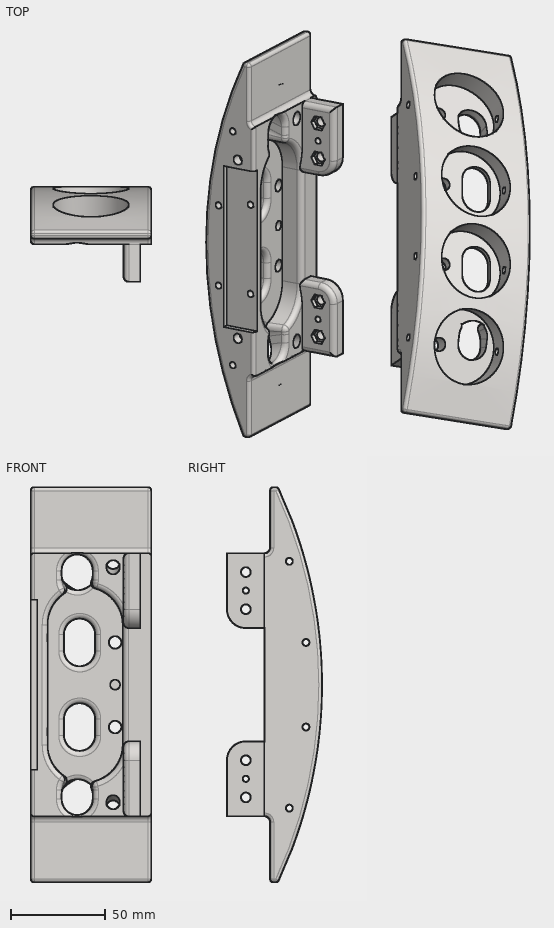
import cadquery as cq
import math

WIDTH = 64.0
LENGTH = 210.0
DEPTH = 30.7
TIP_BACK = 7.1
PAD_HALF = 70.0
WING_STEP = 3.0
EDGE_ROUND = 1.9

SIDE_X = WIDTH / 2
END_Z = LENGTH / 2
SAGITTA = DEPTH - TIP_BACK
BACK_RADIUS = (END_Z ** 2 + SAGITTA ** 2) / (2 * SAGITTA)
BACK_CENTER_Y = DEPTH - BACK_RADIUS

POCKET_X = -3.2
POCKET_RADIUS = 20.0
POCKET_END_Z = 32.0
POCKET_DEPTH = 12.0
SLOT_RADIUS = 8.2
INNER_SLOT_X = -6.0
INNER_SLOT_STRAIGHT = 8.8
OUTER_SLOT_X = -7.4
OUTER_SLOT_Z = 57.3
OUTER_SLOT_STRAIGHT = 4.5
FRONT_CUT_DEPTH = 21.0
RIM_ROUND = 3.0

BORE_DIAMETER = 40.3
BORE_DEPTH = 12.4
INNER_Z = 22.5
OUTER_TILT = 16.1

INNER_HOLE_X = 12.8
INNER_HOLE_DIAMETER = 6.5
OUTER_HOLE_X = 11.8
OUTER_HOLE_Z = 62.4
OUTER_HOLE_DIAMETER = 7.1
CENTER_HOLE_DIAMETER = 5.2
CENTER_HOLE_DEPTH = 6.3

RECESS_HALF = 45.2
RECESS_BACK_Y = 19.0
RECESS_DEPTH = 3.4
RECESS_HOLE_DIAMETER = 3.5
RECESS_HOLE_YZ = (4.2, 25.0)
SIDE_HOLE_DIAMETER = 5.2
SIDE_HOLE_YZ = (10.0, 50.0)
BLIND_DEPTH = 6.3
PIN_DIAMETER = 3.5
INNER_PIN_YZ = (22.0, 22.5)
OUTER_PIN_YZ = (13.2, 65.5)

LUG_X = 17.2
LUG_THICKNESS = 9.0
LUG_REACH = 20.0
LUG_LENGTH = 40.0
LUG_CORNER = 10.0
LUG_ROUND = 3.0
LUG_HOLE_Y = -9.9
LUG_HOLE_PITCH = 9.9
SCREW_DIAMETER = 5.0
DOWEL_DIAMETER = 3.2
NUT_CORNERS = 8.5
NUT_DEPTH = 3.2

TOLERANCE = 0.02


def front_plane(z=0.0, tilt=0.0, y=0.0):
    """Plane through (0, y, z) facing out of the front, leaned back by tilt; local x, y follow X, Z."""
    angle = math.radians(tilt)
    outward = (0, -math.cos(angle), -math.sin(angle))
    return cq.Workplane(cq.Plane(origin=(0, y, z), xDir=(1, 0, 0), normal=outward))


def side_plane(x):
    """Plane facing +X at the given x; its local x, y follow Y, Z."""
    return cq.Workplane(cq.Plane(origin=(x, 0, 0), xDir=(0, 1, 0), normal=(1, 0, 0)))


def both_ends(shape):
    """The shape together with its mirror image about z = 0."""
    return shape.union(shape.mirror("XY"))


def slot(plane, x, straight, radius, depth):
    """Round-ended cutter, long in Z, reaching the same depth to both sides of the plane."""
    return plane.center(x, 0).slot2D(straight + 2 * radius, 2 * radius, 90).extrude(depth, both=True)


def hole(plane, x, diameter, depth):
    """Round cutter going from the plane into the body."""
    return plane.center(x, 0).circle(diameter / 2).extrude(-depth)


def cross_holes(yz, diameter, depth):
    """Mirrored pair of round cutters going in from the -X side."""
    return both_ends(side_plane(-SIDE_X).center(*yz).circle(diameter / 2).extrude(depth))


def make_block():
    return (
        side_plane(-SIDE_X)
        .moveTo(0, -END_Z)
        .lineTo(TIP_BACK, -END_Z)
        .threePointArc((DEPTH, 0), (TIP_BACK, END_Z))
        .lineTo(0, END_Z)
        .close()
        .extrude(WIDTH)
    )


def spans_y(edge, low, high):
    """True if the edge reaches exactly from low to high along Y."""
    box = edge.BoundingBox()
    return abs(box.ymin - low) < TOLERANCE and abs(box.ymax - high) < TOLERANCE


def is_rim(edge):
    """True for the pocket and slot edges that get rounded."""
    middle = edge.positionAt(0.5)
    if spans_y(edge, 0, 0):
        return abs(middle.x) < SIDE_X - TOLERANCE and abs(middle.z) < END_Z - TOLERANCE
    if spans_y(edge, POCKET_DEPTH, POCKET_DEPTH):
        from_center = math.hypot(middle.x - POCKET_X, max(abs(middle.z) - POCKET_END_Z, 0))
        return from_center < POCKET_RADIUS - TOLERANCE
    return spans_y(edge, 0, POCKET_DEPTH) and edge.geomType() == "BSPLINE"


def cut_pocket_and_slots(body):
    pocket = slot(front_plane(), POCKET_X, 2 * POCKET_END_Z, POCKET_RADIUS, POCKET_DEPTH)
    inner = slot(front_plane(INNER_Z), INNER_SLOT_X, INNER_SLOT_STRAIGHT, SLOT_RADIUS, FRONT_CUT_DEPTH)
    outer_plane = front_plane(OUTER_SLOT_Z, OUTER_TILT)
    outer = slot(outer_plane, OUTER_SLOT_X, OUTER_SLOT_STRAIGHT, SLOT_RADIUS, FRONT_CUT_DEPTH)
    body = body.cut(pocket).cut(both_ends(outer)).cut(both_ends(inner))
    rims = [edge for edge in body.edges().vals() if is_rim(edge)]
    return body.newObject(rims).fillet(RIM_ROUND)


def cut_wings(body):
    """Set the wings back from the pad, with a concave round at the step."""
    wing = (
        side_plane(-SIDE_X)
        .moveTo(0, PAD_HALF)
        .radiusArc((WING_STEP, PAD_HALF + WING_STEP), -WING_STEP)
        .lineTo(WING_STEP, END_Z)
        .lineTo(0, END_Z)
        .close()
        .extrude(WIDTH)
    )
    return body.cut(both_ends(wing))


def round_outside(body):
    """Round both tips and the side outlines, leaving the pad's +X edge sharp."""
    for tip in ("<Z", ">Z"):
        body = body.faces(tip).edges("|X").fillet(EDGE_ROUND)
    body = body.faces("<X").edges().fillet(EDGE_ROUND)
    right_edges = [edge for edge in body.faces(">X").edges().vals() if not spans_y(edge, 0, 0)]
    return body.newObject(right_edges).fillet(EDGE_ROUND)


def cut_bores(body):
    inner_back_y = BACK_CENTER_Y + math.sqrt(BACK_RADIUS ** 2 - INNER_Z ** 2)
    inner_floor = front_plane(INNER_Z, y=inner_back_y - BORE_DEPTH)
    inner = hole(inner_floor, 0, BORE_DIAMETER, DEPTH)
    outer_floor = front_plane(tilt=OUTER_TILT, y=BACK_CENTER_Y).workplane(offset=BORE_DEPTH - BACK_RADIUS)
    outer = hole(outer_floor, 0, BORE_DIAMETER, DEPTH)
    return body.cut(both_ends(inner)).cut(both_ends(outer))


def cut_front_holes(body):
    inner = hole(front_plane(INNER_Z), INNER_HOLE_X, INNER_HOLE_DIAMETER, FRONT_CUT_DEPTH)
    outer_plane = front_plane(OUTER_HOLE_Z, OUTER_TILT).center(OUTER_HOLE_X, 0)
    outer = outer_plane.circle(OUTER_HOLE_DIAMETER / 2).extrude(FRONT_CUT_DEPTH, both=True)
    center = hole(front_plane(), INNER_HOLE_X, CENTER_HOLE_DIAMETER, POCKET_DEPTH + CENTER_HOLE_DEPTH)
    return body.cut(both_ends(inner)).cut(both_ends(outer)).cut(center)


def cut_side(body):
    recess = (
        cq.Workplane("XY")
        .box(RECESS_DEPTH, RECESS_BACK_Y, 2 * RECESS_HALF, centered=(False, False, True))
        .translate((-SIDE_X, 0, 0))
    )
    recess_holes = cross_holes(RECESS_HOLE_YZ, RECESS_HOLE_DIAMETER, RECESS_DEPTH + BLIND_DEPTH)
    side_holes = cross_holes(SIDE_HOLE_YZ, SIDE_HOLE_DIAMETER, BLIND_DEPTH)
    body = body.cut(recess).cut(recess_holes).cut(side_holes)
    for pin in (INNER_PIN_YZ, OUTER_PIN_YZ):
        body = body.cut(cross_holes(pin, PIN_DIAMETER, WIDTH))
    return body


def make_lug():
    """Upper lug, sunk into the pad so that its root fills the rounded pocket rim."""
    lug = (
        cq.Workplane("XY")
        .box(LUG_THICKNESS, LUG_REACH + RIM_ROUND, LUG_LENGTH, centered=False)
        .translate((LUG_X, -LUG_REACH, PAD_HALF - LUG_LENGTH))
    )
    lug = lug.edges("|X and <Y and <Z").fillet(LUG_CORNER)
    outline = lug.faces("<X").edges().filter(lambda edge: not spans_y(edge, RIM_ROUND, RIM_ROUND))
    lug = outline.fillet(LUG_ROUND)

    middle_z = PAD_HALF - LUG_LENGTH / 2
    dowel_seat = side_plane(LUG_X).center(LUG_HOLE_Y, middle_z)
    lug = lug.cut(dowel_seat.circle(DOWEL_DIAMETER / 2).extrude(LUG_THICKNESS))
    for z in (middle_z - LUG_HOLE_PITCH, middle_z + LUG_HOLE_PITCH):
        seat = side_plane(LUG_X).center(LUG_HOLE_Y, z)
        nut = seat.polygon(6, NUT_CORNERS).extrude(NUT_DEPTH)
        screw = seat.circle(SCREW_DIAMETER / 2).extrude(LUG_THICKNESS)
        lug = lug.cut(nut).cut(screw)
    return lug


body = cut_pocket_and_slots(make_block())
body = round_outside(cut_wings(body))
body = cut_bores(body)
body = cut_front_holes(body)
body = cut_side(body)
result = body.union(both_ends(make_lug()))